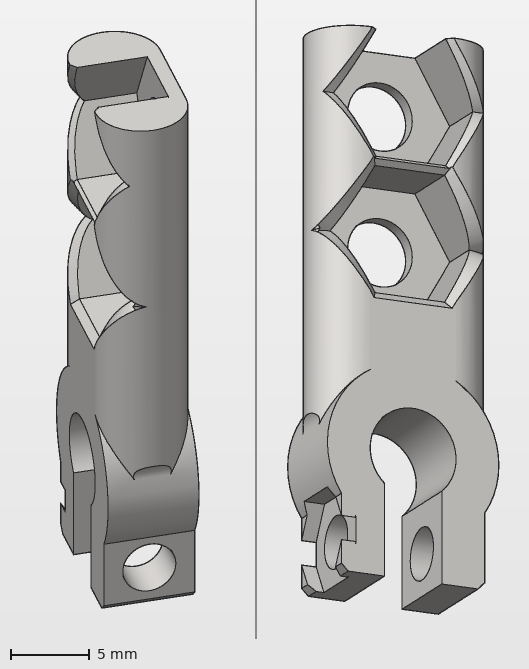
import cadquery as cq
import math

width = 12.0
thickness = 6.0
height = 36.32
side_radius = thickness / 2
front_y = -thickness / 2

ring_radius = width / 2
bore_radius = 2.995
ring_z = 8.4
leg_half_width = 5.0
slot_half_width = 2.0
leg_chamfer = 0.47

relief_top_z = 11.05
relief_bottom_z = 10.1
relief_mid_inset = 0.18
relief_mid_z = 10.75

screw_diameter = 3.5
screw_z = 2.85
nut_across_flats = 6.0
nut_floor_x = -4.0

pocket_across_flats = 8.43
pocket_pitch = 9.0
pocket_floor = 1.0
pocket_hole_diameter = 4.5
upper_pocket_z = height - pocket_across_flats / 2
lower_pocket_z = upper_pocket_z - pocket_pitch

upper_rim_setback = 0.35
lower_rim_setback = 0.5
rim_steps = 8
rim_overhang = 0.35

clearance = 3.65


def hexagon_diameter(across_flats):
    """Corner-to-corner size of a regular hexagon."""
    return across_flats / math.cos(math.pi / 6)


def across_thickness(sketch):
    """Extrude an XZ outline through the whole thickness."""
    return sketch.extrude(thickness / 2, both=True)


def bar():
    """Bar with rounded sides, from the ring to the top."""
    return (
        cq.Workplane("XY", origin=(0, 0, relief_bottom_z))
        .slot2D(width, thickness)
        .extrude(height - relief_bottom_z)
    )


def side_relief():
    """Curved cutter along the -X side, ending on the ring's outer surface."""
    end_x = -math.sqrt(ring_radius**2 - (relief_bottom_z - ring_z) ** 2)
    outer_x = -width / 2
    return across_thickness(
        cq.Workplane("XZ")
        .moveTo(outer_x, relief_top_z)
        .threePointArc((outer_x + relief_mid_inset, relief_mid_z), (end_x, relief_bottom_z))
        .lineTo(outer_x - clearance, relief_bottom_z)
        .lineTo(outer_x - clearance, relief_top_z)
        .close()
    )


def clamp():
    """Ring with two legs, before the bore and slot are cut."""
    ring = across_thickness(cq.Workplane("XZ", origin=(0, 0, ring_z)).circle(ring_radius))
    legs = (
        cq.Workplane("XY")
        .rect(2 * leg_half_width, thickness)
        .extrude(ring_z)
        .edges("|Y and <Z")
        .chamfer(leg_chamfer)
    )
    return ring.union(legs)


def clamp_opening():
    """Bore and the slot that opens it downwards."""
    bore = across_thickness(cq.Workplane("XZ", origin=(0, 0, ring_z)).circle(bore_radius))
    slot = cq.Workplane("XY").rect(2 * slot_half_width, thickness).extrude(ring_z)
    return bore.union(slot)


def clamp_screw():
    """Screw hole through both legs with the nut seat."""
    hole = (
        cq.Workplane("YZ", origin=(0, 0, screw_z))
        .circle(screw_diameter / 2)
        .extrude(width, both=True)
    )
    seat = (
        cq.Workplane("YZ", origin=(nut_floor_x, 0, screw_z))
        .polygon(6, hexagon_diameter(nut_across_flats))
        .extrude(-clearance)
    )
    return hole.union(seat)


def sector(start_degrees):
    """60-degree wedge around the pocket axis, used to mitre neighbouring rim cuts."""
    reach = 2 * width
    start = math.radians(start_degrees)
    end = math.radians(start_degrees + 60)
    return (
        cq.Workplane("XZ")
        .lineTo(reach * math.cos(start), reach * math.sin(start))
        .lineTo(reach * math.cos(end), reach * math.sin(end))
        .close()
        .extrude(thickness, both=True)
    )


def rim_section(x, roll, wall_degrees, setback):
    """Triangle that bevels the rim between a pocket wall and the bar's surface.

    A ball of radius setback rolls inside the material along the wall and the surface, and
    the bevel joins its two contact points. x is the ball's centre and roll is its angle
    around the rounded side, zero on the flat front.
    """
    normal_x = math.cos(math.radians(wall_degrees))
    normal_z = math.sin(math.radians(wall_degrees))
    center_y = -(side_radius - setback) * math.cos(roll)
    center_z = (pocket_across_flats / 2 + setback - x * normal_x) / normal_z
    wall_point = cq.Vector(x - setback * normal_x, center_y, center_z - setback * normal_z)
    surface_point = cq.Vector(
        x + setback * math.sin(roll), center_y - setback * math.cos(roll), center_z
    )
    outer_point = cq.Vector(wall_point.x, front_y - rim_overhang, wall_point.z)
    return cq.Wire.makePolygon([wall_point, surface_point, outer_point], close=True)


def rim_loft(sections):
    """Solid through a row of rim sections."""
    return cq.Workplane(cq.Solid.makeLoft(sections, len(sections) == 2))


def pocket_rim(setback):
    """Bevel around all six sides of a pocket centred on the origin."""
    side_wall = 30
    end_wall = 90
    side_center = width / 2 - side_radius
    end_reach = pocket_across_flats / 2
    corner_x = (end_reach + setback) / math.cos(math.radians(side_wall))
    corner_roll = math.asin((corner_x - side_center) / (side_radius - setback))

    end = rim_loft([rim_section(x, 0, end_wall, setback) for x in (-end_reach, end_reach)])
    flat = rim_loft([rim_section(x, 0, side_wall, setback) for x in (0, side_center)])
    rolls = [corner_roll * i / rim_steps for i in range(rim_steps + 1)]
    rounded = rim_loft(
        [
            rim_section(side_center + (side_radius - setback) * math.sin(roll), roll, side_wall, setback)
            for roll in rolls
        ]
    )
    side = flat.union(rounded).intersect(sector(0))
    quarter = side.union(end.intersect(sector(60)))
    half = quarter.union(side.mirror("YZ"))
    return half.union(half.mirror("XY"))


def pocket(center_z, setback):
    """Hexagonal recess with a bevelled rim and a round hole through its floor."""
    recess = (
        cq.Workplane("XZ", origin=(0, thickness / 2 - pocket_floor, 0))
        .polygon(6, hexagon_diameter(pocket_across_flats))
        .extrude(thickness)
    )
    hole = across_thickness(cq.Workplane("XZ").circle(pocket_hole_diameter / 2))
    cutter = recess.union(hole).union(pocket_rim(setback))
    return cutter.translate((0, 0, center_z))


relief = side_relief()
result = bar().cut(relief).cut(relief.mirror("YZ"))
result = result.union(clamp()).cut(clamp_opening()).cut(clamp_screw())
result = result.cut(pocket(upper_pocket_z, upper_rim_setback))
result = result.cut(pocket(lower_pocket_z, lower_rim_setback))